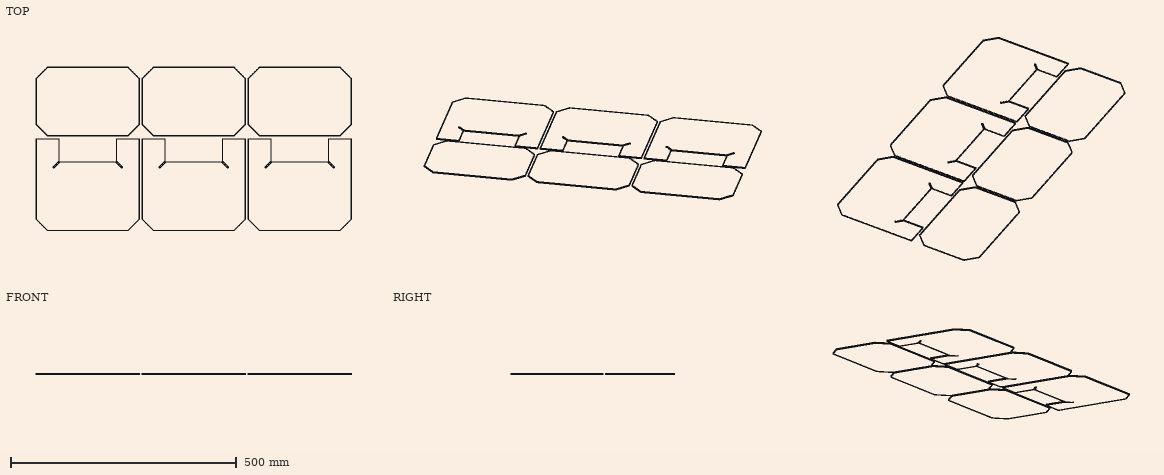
import cadquery as cq

overall_width = 698.5
columns = 3
gap = 6.35
thickness = 2.5
corner_chamfer = 25.0

plate_width = (overall_width - (columns - 1) * gap) / columns
cover_depth = 152.0
notched_depth = 203.0
overall_depth = cover_depth + gap + notched_depth

leg_width = 51.0
notch_depth = 51.0
notch_width = plate_width - 2 * leg_width
slit_width = 2.5
slit_length = 18.0
slit_angle = 45

column_pitch = plate_width + gap
column_centres = [(i - (columns - 1) / 2) * column_pitch for i in range(columns)]
cover_centre_y = (overall_depth - cover_depth) / 2
notched_centre_y = (notched_depth - overall_depth) / 2


def cover_plate(centre_x):
    """Rectangular plate with all four corners cut off."""
    return (
        cq.Workplane("XY")
        .center(centre_x, cover_centre_y)
        .rect(plate_width, cover_depth)
        .extrude(thickness)
        .edges("|Z")
        .chamfer(corner_chamfer)
    )


def notch_cutter():
    """Rectangular notch open at the back edge of a plate centred on the origin."""
    return (
        cq.Workplane("XY")
        .center(0, (notched_depth - notch_depth) / 2)
        .rect(notch_width, notch_depth)
        .extrude(thickness)
    )


def slit_cutter(side):
    """Diagonal slit running outward and forward from one inner notch corner."""
    corner = (side * notch_width / 2, notched_depth / 2 - notch_depth)
    return (
        cq.Workplane("XY")
        .rect(2 * slit_length, slit_width)
        .extrude(thickness)
        .rotate((0, 0, 0), (0, 0, 1), -side * slit_angle)
        .translate((*corner, 0))
    )


def notched_plate(centre_x):
    """Plate with its front corners cut off and a notch with relief slits in its back edge."""
    plate = (
        cq.Workplane("XY")
        .rect(plate_width, notched_depth)
        .extrude(thickness)
        .edges("|Z and <Y")
        .chamfer(corner_chamfer)
        .cut(notch_cutter())
    )
    for side in (-1, 1):
        plate = plate.cut(slit_cutter(side))
    return plate.translate((centre_x, notched_centre_y, 0))


cover_plates = [cover_plate(x).val() for x in column_centres]
notched_plates = [notched_plate(x).val() for x in column_centres]

result = cq.Compound.makeCompound([*cover_plates, *notched_plates])